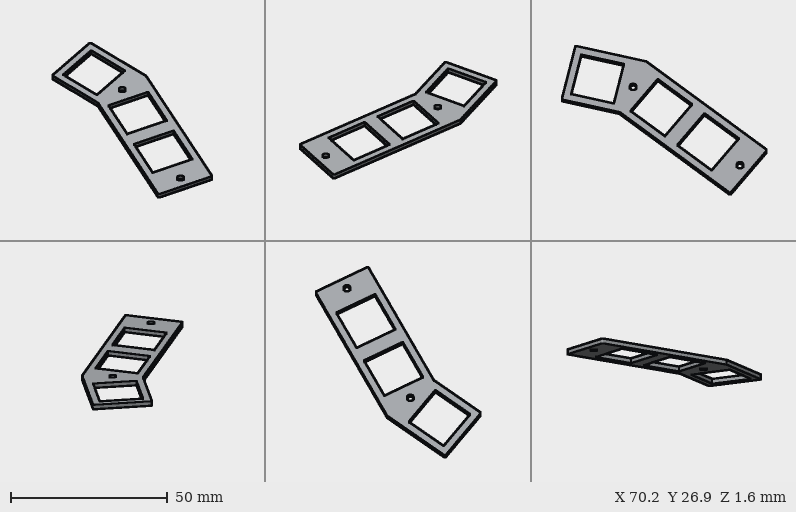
import cadquery as cq
import math

length = 70.25
thickness = 1.6
band_width = 19.05
window_size = 14.0
hole_diameter = 2.2
corner_radius = 0.5
bend_angle = 25.0
right_margin = 16.6
hole_margin = 3.6
hole_spacing = 43.55
tilted_centre_y = -4.9

half_width = band_width / 2
bend_cos = math.cos(math.radians(bend_angle))
bend_sin = math.sin(math.radians(bend_angle))

corner_reach = (half_width - corner_radius) * (bend_cos + bend_sin) + corner_radius
tilted_centre_x = corner_reach - length


def tilted_point(along, across):
    """Point in the tilted arm's frame, measured from its window centre."""
    return (
        tilted_centre_x + along * bend_cos - across * bend_sin,
        tilted_centre_y + along * bend_sin + across * bend_cos,
    )


def bend_point(side):
    """Where the arms' edges meet; side is +1 for the upper edge, -1 for the lower."""
    edge_y = side * half_width
    along = (edge_y - tilted_centre_y - edge_y * bend_cos) / bend_sin
    return tilted_point(along, edge_y)


def window(centre, angle):
    return (
        cq.Workplane("XY")
        .rect(window_size, window_size)
        .extrude(thickness)
        .rotate((0, 0, 0), (0, 0, 1), angle)
        .translate((centre[0], centre[1], 0))
    )


outline = [
    (0, -half_width),
    (0, half_width),
    bend_point(1),
    tilted_point(-half_width, half_width),
    tilted_point(-half_width, -half_width),
    bend_point(-1),
]
plate = cq.Workplane("XY").polyline(outline).close().extrude(thickness)

plate = plate.edges("|Z and >X").fillet(corner_radius)
for side in (1, -1):
    corner = tilted_point(-half_width, side * half_width)
    plate = plate.edges(cq.selectors.NearestToPointSelector((*corner, thickness / 2))).fillet(corner_radius)

for index in range(2):
    plate = plate.cut(window((-right_margin - index * band_width, 0), 0))
plate = plate.cut(window((tilted_centre_x, tilted_centre_y), bend_angle))

hole_centres = [(-hole_margin, 0), (-hole_margin - hole_spacing, 0)]
holes = cq.Workplane("XY").pushPoints(hole_centres).circle(hole_diameter / 2).extrude(thickness)
plate = plate.cut(holes)

result = plate.translate((length / 2, 0, 0))